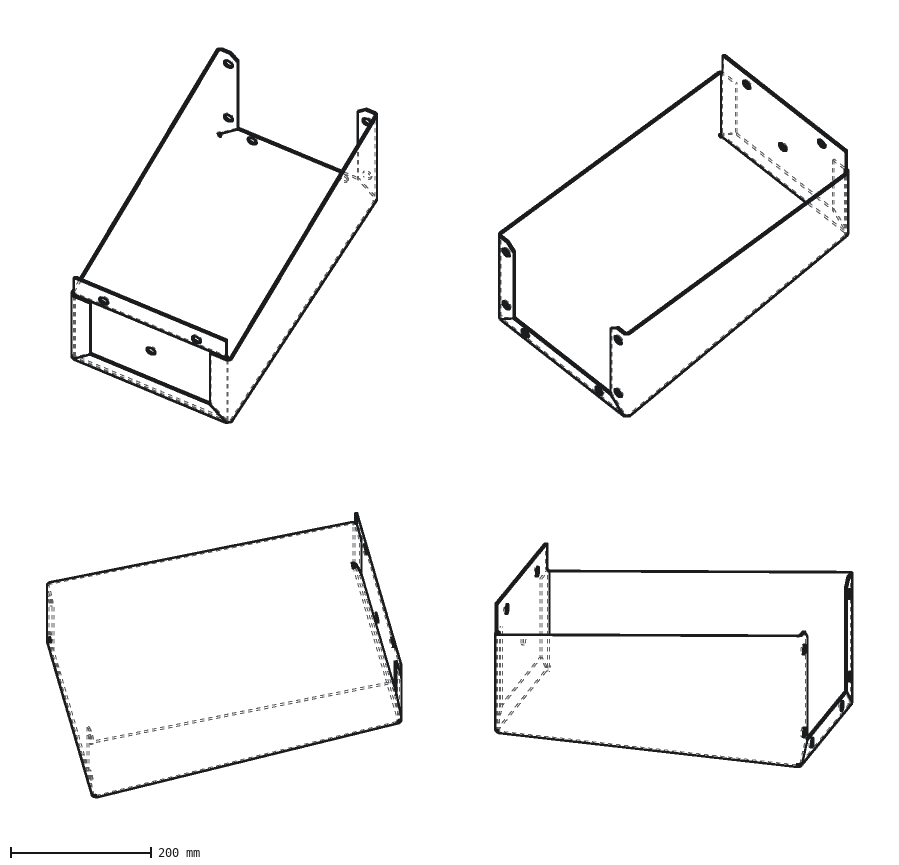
import cadquery as cq
import math

width = 257.5
length = 457.0
rear_height = 203.0
front_height = 152.5

sheet = 3.0
bend_inner = 3.0
bend_outer = bend_inner + sheet

flange_width = 32.0
flange_chamfer = 12.5
mitre_gap = 0.5
hole_diameter = 14.0

side_hole_inset = 17.5
side_hole_heights = (49.5, 176.5)
floor_hole_spacing = 146.5
floor_hole_height = 18.7

plate_top = 197.0
plate_corner_radius = 2.7
lip_hole_spacing = 149.0
lip_hole_height = 171.5
centre_hole_height = 95.5

half_width = width / 2
flat_half_width = half_width - bend_outer
flat_front = bend_outer
flat_rear = length - bend_outer
flat_length = flat_rear - flat_front


def box(x_range, y_range, z_range):
    """Block spanning the given coordinate ranges."""
    corner = cq.Vector(x_range[0], y_range[0], z_range[0])
    sizes = [high - low for low, high in (x_range, y_range, z_range)]
    return cq.Workplane(cq.Solid.makeBox(*sizes, corner))


def bend(plane, centre, u_sign, v_sign, run):
    """Quarter-round bend about a centre, filling the quadrant given by the two signs."""
    diagonal = math.sqrt(0.5)

    def at(radius, u, v):
        return (centre[0] + radius * u * u_sign, centre[1] + radius * v * v_sign)

    return (
        cq.Workplane(plane)
        .moveTo(*at(bend_inner, 1, 0))
        .lineTo(*at(bend_outer, 1, 0))
        .threePointArc(at(bend_outer, diagonal, diagonal), at(bend_outer, 0, 1))
        .lineTo(*at(bend_inner, 0, 1))
        .threePointArc(at(bend_inner, diagonal, diagonal), at(bend_inner, 1, 0))
        .close()
        .extrude(run)
    )


def cross_holes(points, y_start):
    """Round cutters along Y, through one sheet, at (x, z) points."""
    cutters = [
        cq.Solid.makeCylinder(hole_diameter / 2, sheet, cq.Vector(x, y_start, z), cq.Vector(0, 1, 0))
        for x, z in points
    ]
    return cq.Workplane(cq.Compound.makeCompound(cutters))


def end_plate(points, y_start):
    """Flat sheet in the XZ plane with the given (x, z) outline."""
    return cq.Workplane("XZ", origin=(0, y_start, 0)).polyline(points).close().extrude(-sheet)


def side_wall(side):
    """Sloping-topped wall with its floor bend."""
    profile = [
        (flat_front, bend_outer),
        (flat_rear, bend_outer),
        (flat_rear, rear_height),
        (flat_front, front_height),
    ]
    inner_face = side * (half_width - sheet)
    wall = cq.Workplane("YZ", origin=(inner_face, 0, 0)).polyline(profile).close().extrude(side * sheet)
    floor_bend_plane = cq.Plane((0, flat_rear, 0), (1, 0, 0), (0, -1, 0))
    floor_bend = bend(floor_bend_plane, (side * flat_half_width, bend_outer), side, -1, flat_length)
    return wall.union(floor_bend)


def side_flange(side, y_start, height, top_chamfer):
    """Upright end flange of a side wall, mitred at its foot."""
    inner_edge = half_width - flange_width
    outline = [
        (side * flat_half_width, bend_outer),
        (side * flat_half_width, height),
    ]
    if top_chamfer > 0:
        outline.append((side * (inner_edge + top_chamfer), height))
    outline.append((side * inner_edge, height - top_chamfer))
    outline.append((side * inner_edge, flange_width))
    return end_plate(outline, y_start)


def floor_flange(y_start):
    """End flange of the floor, its ends mitred with a thin gap to the side flanges."""
    foot = flat_half_width - mitre_gap
    crest = half_width - flange_width - mitre_gap
    outline = [(-foot, bend_outer), (foot, bend_outer), (crest, flange_width), (-crest, flange_width)]
    return end_plate(outline, y_start)


def tray_end(bend_y, y_sign, flange_y, height, top_chamfer):
    """Three flanges and their bends at one end of the tray."""
    floor_bend_plane = cq.Plane((-flat_half_width, 0, 0), (0, 1, 0), (1, 0, 0))
    end = floor_flange(flange_y)
    end = end.union(bend(floor_bend_plane, (bend_y, bend_outer), y_sign, -1, 2 * flat_half_width))
    upright_plane = cq.Plane((0, 0, bend_outer), (1, 0, 0), (0, 0, 1))
    for side in (-1, 1):
        end = end.union(side_flange(side, flange_y, height, top_chamfer))
        centre = (side * flat_half_width, bend_y)
        end = end.union(bend(upright_plane, centre, side, y_sign, height - bend_outer))
    return end


def make_tray():
    tray = box((-flat_half_width, flat_half_width), (flat_front, flat_rear), (0, sheet))
    for side in (-1, 1):
        tray = tray.union(side_wall(side))
    tray = tray.union(tray_end(flat_front, -1, 0, front_height, 0))
    rear_face = length - sheet
    tray = tray.union(tray_end(flat_rear, 1, rear_face, rear_height, flange_chamfer))
    hole_points = []
    for side in (-1, 1):
        hole_points.append((side * floor_hole_spacing / 2, floor_hole_height))
        for height in side_hole_heights:
            hole_points.append((side * (half_width - side_hole_inset), height))
    return tray.cut(cross_holes(hole_points, rear_face))


def make_front_plate():
    """Plate whose lip is offset forward by one sheet through an S-shaped step."""
    step_start = front_height
    step_end = step_start + bend_outer
    step_middle = (step_start + step_end) / 2
    plate = (
        cq.Workplane("YZ", origin=(-flat_half_width, 0, 0))
        .moveTo(sheet, bend_outer)
        .lineTo(sheet, step_start)
        .tangentArcPoint((sheet / 2, step_middle), relative=False)
        .tangentArcPoint((0, step_end), relative=False)
        .lineTo(0, plate_top)
        .lineTo(sheet, plate_top)
        .lineTo(sheet, step_end)
        .tangentArcPoint((sheet * 1.5, step_middle), relative=False)
        .tangentArcPoint((sheet * 2, step_start), relative=False)
        .lineTo(sheet * 2, bend_outer)
        .close()
        .extrude(2 * flat_half_width)
    )
    plate = plate.edges("|Y and >Z").fillet(plate_corner_radius)
    lip_points = [(side * lip_hole_spacing / 2, lip_hole_height) for side in (-1, 1)]
    plate = plate.cut(cross_holes(lip_points, 0))
    return plate.cut(cross_holes([(0, centre_hole_height)], sheet))


tray = make_tray()
front_plate = make_front_plate()

result = cq.Compound.makeCompound([tray.solids().val(), front_plate.solids().val()])